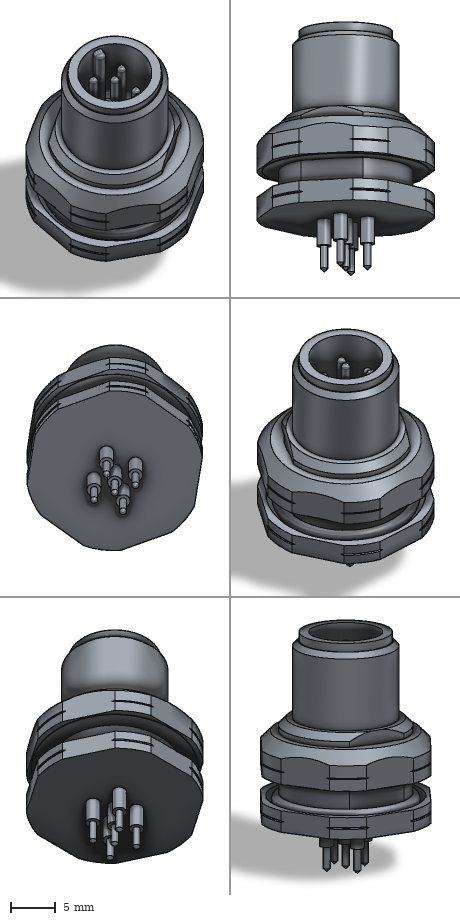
import cadquery as cq
import math

total_height = 27.5

across_flats = 19.0
across_corners = 20.0
corner_radius = across_corners / 2
mark_depth = 0.1
flange_mark_width = 0.22
nut_mark_width = 0.15

flange_bottom = 6.0
flange_thickness = 2.5
recess_radius = 9.0
recess_depth = 1.5
ring_radius = 7.62
ring_section_radius = 0.75
ring_proud = 0.35

neck_radius = 7.55
neck_flat_width = 13.35
neck_top = 17.55
neck_chamfer = 0.85

nut_bottom = 11.47
nut_top = 16.03
nut_chamfer = 1.5
nut_bore_radius = 6.93
nut_washer_radius = 9.38
nut_washer_height = 0.08

barrel_radius = 6.0
barrel_chamfer = 0.63
rim_radius = 5.25
rim_height = 1.0
socket_radius = 4.15
socket_depth = 8.5
socket_fillet = 0.33

key_angle = 135.0
key_radius = 0.6
key_below_rim = 0.5
key_fillet = 0.47

contact_spacing = 2.5
contact_radius = 0.5
contact_fillet = 0.4
contact_below_rim = 2.0
centre_contact_below_rim = 1.0
sleeve_radius = 0.8
sleeve_bottom = 3.0
tail_radius = 0.4

flange_top = flange_bottom + flange_thickness
ring_level = flange_top + ring_proud - ring_section_radius
recess_floor = flange_top - recess_depth
socket_floor = total_height - socket_depth
rim_bottom = total_height - rim_height


def cylinder(radius, bottom, top):
    return cq.Workplane("XY").workplane(offset=bottom).circle(radius).extrude(top - bottom)


def mark_groove(level, width):
    """Ring with a V section that is cut into the rounded corners."""
    half = width / 2
    groove = [
        (corner_radius - mark_depth, level),
        (corner_radius, level - half),
        (corner_radius + mark_depth, level - half),
        (corner_radius + mark_depth, level + half),
        (corner_radius, level + half),
    ]
    return cq.Workplane("XZ").polyline(groove).close().revolve(360, (0, 0, 0), (0, 1, 0))


def hexagon(bottom, top, top_chamfer=0):
    """Hexagonal prism with flats facing +X and -X and turned corners."""
    circumscribed_diameter = across_flats / math.cos(math.pi / 6)
    prism = (
        cq.Workplane("XY").workplane(offset=bottom)
        .transformed(rotate=(0, 0, 30))
        .polygon(6, circumscribed_diameter)
        .extrude(top - bottom)
    )
    turned = cylinder(corner_radius, bottom, top)
    if top_chamfer:
        turned = turned.faces(">Z").chamfer(top_chamfer)
    return prism.intersect(turned)


def make_flange():
    flange = hexagon(flange_bottom, flange_top)
    flange = flange.cut(cylinder(recess_radius, recess_floor, flange_top))
    return flange.cut(mark_groove((flange_bottom + flange_top) / 2, flange_mark_width))


def make_sealing_ring():
    return (
        cq.Workplane("XZ").center(ring_radius, ring_level)
        .circle(ring_section_radius)
        .revolve(360, (-ring_radius, 0, 0), (-ring_radius, 1, 0))
    )


def make_neck():
    neck = cylinder(neck_radius, flange_bottom, neck_top).faces(">Z").chamfer(neck_chamfer)
    between_flats = cq.Workplane("XY").box(neck_flat_width, 2 * neck_radius, 2 * total_height)
    return neck.intersect(between_flats)


def make_nut():
    hex_bottom = nut_bottom + nut_washer_height
    nut = hexagon(hex_bottom, nut_top, nut_chamfer)
    nut = nut.cut(mark_groove((nut_bottom + nut_top - nut_chamfer) / 2, nut_mark_width))
    nut = nut.union(cylinder(nut_washer_radius, nut_bottom, hex_bottom))
    return nut.cut(cylinder(nut_bore_radius, nut_bottom, nut_top))


def make_barrel():
    barrel = cylinder(barrel_radius, flange_bottom, rim_bottom).faces(">Z").chamfer(barrel_chamfer)
    return barrel.union(cylinder(rim_radius, rim_bottom, total_height))


def make_socket():
    return cylinder(socket_radius, socket_floor, total_height).faces("<Z").edges().fillet(socket_fillet)


def make_key():
    """Round-nosed rib on the socket wall, pointing to the axis from (-X, +Y)."""
    nose_centre = contact_spacing * math.sqrt(2)
    wall_middle = (socket_radius + rim_radius) / 2
    length = 2 * (wall_middle - nose_centre + key_radius)
    key = (
        cq.Workplane("XY").workplane(offset=socket_floor)
        .center(wall_middle, 0)
        .slot2D(length, 2 * key_radius)
        .extrude(socket_depth - key_below_rim)
        .faces(">Z").edges().fillet(key_fillet)
        .rotate((0, 0, 0), (0, 0, 1), key_angle)
    )
    return key.intersect(cylinder(wall_middle, socket_floor, total_height))


def make_contact(x, y, tip_level):
    """Domed contact in the socket with a sleeve and a pointed solder tail below."""
    pin = cylinder(contact_radius, flange_bottom, tip_level).faces(">Z").edges().fillet(contact_fillet)
    sleeve = cylinder(sleeve_radius, sleeve_bottom, flange_bottom)
    tail = (
        cq.Workplane("XZ")
        .polyline([(0, 0), (tail_radius, tail_radius), (tail_radius, sleeve_bottom), (0, sleeve_bottom)])
        .close()
        .revolve(360, (0, 0, 0), (0, 1, 0))
    )
    return pin.union(sleeve).union(tail).translate((x, y, 0))


result = make_flange().union(make_neck()).union(make_sealing_ring())
result = result.union(make_nut()).union(make_barrel())
result = result.cut(make_socket()).union(make_key())

for angle in range(0, 360, 90):
    contact_x = contact_spacing * math.cos(math.radians(angle))
    contact_y = contact_spacing * math.sin(math.radians(angle))
    result = result.union(make_contact(contact_x, contact_y, total_height - contact_below_rim))

result = result.union(make_contact(0, 0, total_height - centre_contact_below_rim))